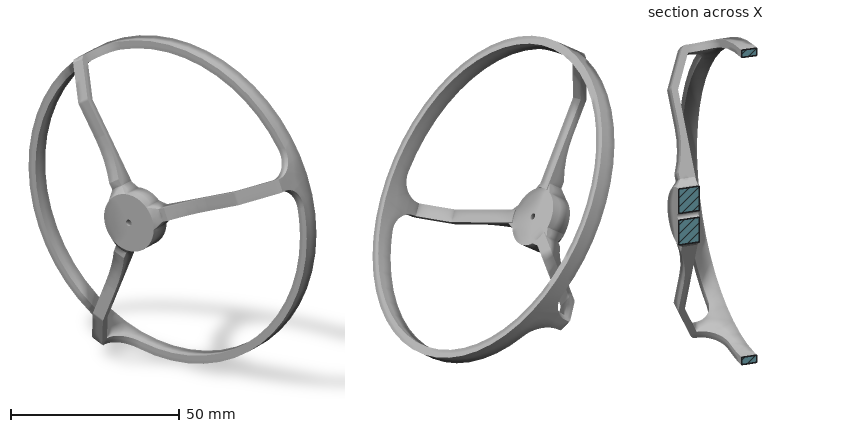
import cadquery as cq
import math

RIM_DIAMETER = 101.0
RIM_BORE = 96.0
RIM_WIDTH = 5.0
rim_radius = RIM_DIAMETER / 2
bore_radius = RIM_BORE / 2

TURNING_ALLOWANCE = 1.0
stock_radius = rim_radius + TURNING_ALLOWANCE

HUB_DIAMETER = 18.0
SHAFT_HOLE = 2.0
HUB_BACK = 18.3
HUB_FRONT = 25.0
hub_radius = HUB_DIAMETER / 2

SPOKE_ANGLES = (22.0, 121.8, 247.3)
SPOKE_WIDTH = 4.0
SPOKE_BACK = 18.0
SPOKE_THICKNESS = 2.0
BEND_RADIUS = 37.5
BEND_FRONT_RADIUS = 38.3
BEND_ROUNDING = 1.3
KNEE_DEPTH = 12.6
KNEE_BEVEL_RADIUS = 49.6
KNEE_BEVEL_DEPTH = 13.2
half_width = SPOKE_WIDTH / 2
spoke_front = SPOKE_BACK + SPOKE_THICKNESS

ROOT_FRONT = 23.0
ROOT_ARC_OUTER = 26.6
ROOT_ARC_INNER = 13.0
FLARE_OUTER = 10.9
FLARE_HALF_WIDTH = 3.6
flare_inner = math.sqrt(hub_radius**2 - FLARE_HALF_WIDTH**2)

FOOT_ARC = 7.3


def annulus(outer, inner, start, end):
    """Ring about the wheel axis between the depths start and end."""
    ring = cq.Workplane("XZ").circle(outer)
    if inner:
        ring = ring.circle(inner)
    return ring.extrude(end - start).translate((0, -start, 0))


def spoke_arm():
    """Bent bar along +X, from the hub wall to beyond the rim."""
    slope = (SPOKE_BACK - KNEE_DEPTH) / (bore_radius - BEND_RADIUS)
    arc_run = ROOT_ARC_OUTER - ROOT_ARC_INNER
    arc_rise = ROOT_FRONT - spoke_front
    arc_radius = (arc_run**2 + arc_rise**2) / (2 * arc_rise)
    half_sweep = math.asin(arc_run / arc_radius) / 2
    arc_middle = (
        ROOT_ARC_OUTER - arc_radius * math.sin(half_sweep),
        -spoke_front - arc_radius * (1 - math.cos(half_sweep)),
    )
    bevel_start = spoke_front - (KNEE_BEVEL_RADIUS - BEND_FRONT_RADIUS) * slope
    arm = (
        cq.Workplane("XY")
        .moveTo(0, -SPOKE_BACK)
        .lineTo(BEND_RADIUS, -SPOKE_BACK)
        .lineTo(bore_radius, -KNEE_DEPTH)
        .lineTo(stock_radius, -KNEE_DEPTH)
        .lineTo(stock_radius, -KNEE_BEVEL_DEPTH)
        .lineTo(rim_radius, -KNEE_BEVEL_DEPTH)
        .lineTo(KNEE_BEVEL_RADIUS, -bevel_start)
        .lineTo(BEND_FRONT_RADIUS, -spoke_front)
        .lineTo(ROOT_ARC_OUTER, -spoke_front)
        .threePointArc(arc_middle, (ROOT_ARC_INNER, -ROOT_FRONT))
        .lineTo(0, -ROOT_FRONT)
        .close()
        .extrude(half_width, both=True)
    )
    bend_point = (BEND_FRONT_RADIUS, -spoke_front, 0)
    arm = arm.edges(cq.selectors.NearestToPointSelector(bend_point)).fillet(BEND_ROUNDING)
    return arm.intersect(annulus(stock_radius, hub_radius, 0, HUB_FRONT))


def spoke_foot():
    """Leg with a concave arc on each side, running from the axis past the rim."""
    rim_half = half_width + FOOT_ARC
    foot_end = RIM_WIDTH + FOOT_ARC
    diagonal = FOOT_ARC * math.sqrt(0.5)
    return (
        cq.Workplane("XY")
        .moveTo(-rim_half, -RIM_WIDTH)
        .lineTo(rim_half, -RIM_WIDTH)
        .threePointArc((rim_half - diagonal, -foot_end + diagonal), (half_width, -foot_end))
        .lineTo(half_width, -KNEE_DEPTH)
        .lineTo(-half_width, -KNEE_DEPTH)
        .lineTo(-half_width, -foot_end)
        .threePointArc((-rim_half + diagonal, -foot_end + diagonal), (-rim_half, -RIM_WIDTH))
        .close()
        .extrude(stock_radius)
        .rotate((0, 0, 0), (0, 1, 0), 90)
    )


def root_flare():
    """Tapered block joining a spoke to the hub, cut back by a cone at the front."""
    flare = (
        cq.Workplane("XZ", origin=(0, -HUB_BACK, 0))
        .polyline(
            [
                (0, -FLARE_HALF_WIDTH),
                (flare_inner, -FLARE_HALF_WIDTH),
                (FLARE_OUTER, -half_width),
                (FLARE_OUTER + half_width, -half_width),
                (FLARE_OUTER + half_width, half_width),
                (FLARE_OUTER, half_width),
                (flare_inner, FLARE_HALF_WIDTH),
                (0, FLARE_HALF_WIDTH),
            ]
        )
        .close()
        .extrude(HUB_FRONT - HUB_BACK)
    )
    cone_length = HUB_FRONT - HUB_BACK
    cone = cq.Solid.makeCone(
        hub_radius + cone_length,
        hub_radius,
        cone_length,
        cq.Vector(0, -HUB_BACK, 0),
        cq.Vector(0, -1, 0),
    )
    return flare.intersect(cq.Workplane(cone))


def turned(body, angle):
    """Copy of a body made along +X, turned about the wheel axis to an angle above +X."""
    return body.rotate((0, 0, 0), (0, 1, 0), -angle)


def rim_with_feet():
    """Rim and all spoke feet, cut from one ring wall."""
    blank = annulus(stock_radius, 0, 0, RIM_WIDTH)
    for angle in SPOKE_ANGLES:
        blank = blank.union(turned(spoke_foot(), angle))
    return blank.intersect(annulus(stock_radius, bore_radius, 0, HUB_FRONT))


wheel = rim_with_feet().union(annulus(hub_radius, 0, HUB_BACK, HUB_FRONT))
spoke = spoke_arm().union(root_flare())
for angle in SPOKE_ANGLES:
    wheel = wheel.union(turned(spoke, angle))

wheel = wheel.intersect(annulus(rim_radius, SHAFT_HOLE / 2, 0, HUB_FRONT))

result = wheel.clean()